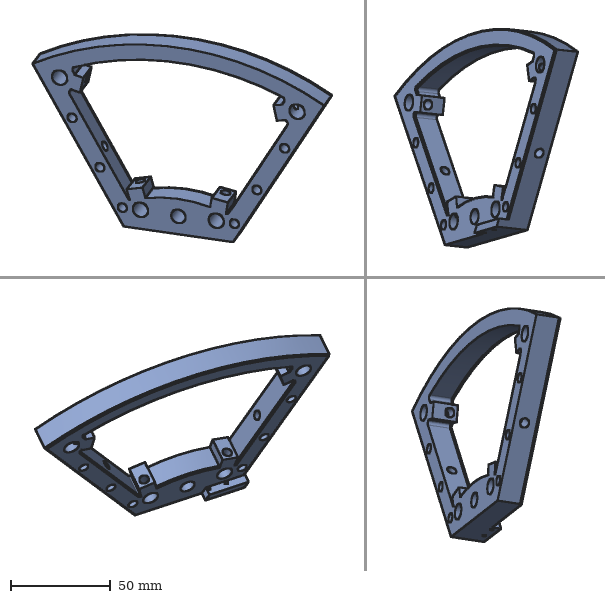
import cadquery as cq
import math

outer_radius = 153.7
half_angle = 30.0
base_width = 57.6
body_depth = 12.5
back_layer_depth = 0.9
back_inset = 0.5
frame_depth = body_depth + back_layer_depth

window_outer_radius = 145.2
window_inner_radius = 69.6
arm_width = 10.0
window_fillet = 1.5

mount_hole_diameter = 8.0
mount_pad_diameter = 16.8
upper_mount_x, upper_mount_z = 62.5, 77.6
lower_mount_x, lower_mount_z = 20.0, 10.6
center_hole_diameter = 7.5
center_hole_z = 10.0
small_hole_diameter = 4.8
small_hole_inset = 4.6
small_hole_radii = (67.2, 90.8, 120.0)

boss_width = 8.6
boss_reach = 11.8
screw_hole_diameter = 4.8
screw_hole_y = 9.2
bosses = (
    (-upper_mount_x, upper_mount_z, -12.0),
    (upper_mount_x, upper_mount_z, 192.0),
    (-lower_mount_x, lower_mount_z, 105.0),
    (lower_mount_x, lower_mount_z, 81.0),
)

side_hole_diameter = 4.8
side_hole_y = 5.7
side_hole_z = 35.4

tab_height = 3.8
total_depth = 18.1
tab_right_x = -7.7
tab_hole_diameter = 1.7
tab_hole_y = 14.5
tab_hole_xs = (-20.5, -10.9)

slope = math.tan(math.radians(half_angle))
cos_half = math.cos(math.radians(half_angle))
sin_half = math.sin(math.radians(half_angle))
apex_z = -base_width / 2 / slope


def xz_plane(y):
    """Sketch plane with local x = X, local y = Z, extruding toward +Y for negative lengths."""
    return cq.Workplane("XZ", origin=(0, y, 0))


def side_x(z, inset):
    """Half width of the sector at height z, with its sides moved inward by inset."""
    return (z - apex_z) * slope - inset / cos_half


def arc_corner(radius, inset):
    """Right-hand point where an arc about the apex meets the inset side."""
    angle = math.radians(half_angle) - math.asin(inset / radius)
    return radius * math.sin(angle), apex_z + radius * math.cos(angle)


def sector(radius, inset, y, depth):
    corner_x, corner_z = arc_corner(radius, inset)
    base_x = side_x(0, inset)
    return (
        xz_plane(y)
        .moveTo(-base_x, 0)
        .lineTo(-corner_x, corner_z)
        .threePointArc((0, apex_z + radius), (corner_x, corner_z))
        .lineTo(base_x, 0)
        .close()
        .extrude(-depth)
    )


def cylinders(points, diameter, depth):
    return xz_plane(0).pushPoints(points).circle(diameter / 2).extrude(-depth)


def window(growth, y, depth):
    """Ring sector opening, leaving round pads around the upper mounting holes.

    growth moves the whole boundary outward, away from the middle of the opening.
    """
    top_radius = window_outer_radius + growth
    low_radius = window_inner_radius - growth
    top_x, top_z = arc_corner(top_radius, arm_width - growth)
    low_x, low_z = arc_corner(low_radius, arm_width - growth)
    opening = (
        xz_plane(y)
        .moveTo(-low_x, low_z)
        .lineTo(-top_x, top_z)
        .threePointArc((0, apex_z + top_radius), (top_x, top_z))
        .lineTo(low_x, low_z)
        .threePointArc((0, apex_z + low_radius), (-low_x, low_z))
        .close()
        .extrude(-depth)
    )
    pad_points = [(-upper_mount_x, upper_mount_z), (upper_mount_x, upper_mount_z)]
    opening = opening.cut(cylinders(pad_points, mount_pad_diameter - 2 * growth, frame_depth))
    opening = cq.Workplane(max(opening.solids().vals(), key=lambda solid: solid.Volume()))
    return opening.edges("|Y").fillet(window_fillet)


def boss(x, z, angle):
    block = cq.Workplane("XY").box(boss_reach, frame_depth, boss_width, centered=(False, False, True))
    return block.rotate((0, 0, 0), (0, 1, 0), -angle).translate((x, 0, z))


def screw_hole(x, z, angle):
    direction = cq.Vector(math.cos(math.radians(angle)), 0, math.sin(math.radians(angle)))
    start = cq.Vector(x, screw_hole_y, z)
    return cq.Solid.makeCylinder(screw_hole_diameter / 2, boss_reach, start, direction)


def side_hole(side):
    """Hole square to one arm; side is -1 for the left arm and 1 for the right."""
    start = cq.Vector(side * side_x(side_hole_z, 0), side_hole_y, side_hole_z)
    inward = cq.Vector(-side * cos_half, 0, sin_half)
    margin = 1.5
    return cq.Solid.makeCylinder(
        side_hole_diameter / 2, arm_width + 2 * margin, start - inward * margin, inward
    )


def tab():
    """Low tab whose two ends both follow the slant of the left side."""
    lean = tab_height * slope
    plate = (
        xz_plane(body_depth)
        .polyline([
            (-side_x(0, 0), 0),
            (tab_right_x, 0),
            (tab_right_x - lean, tab_height),
            (-side_x(tab_height, 0), tab_height),
        ])
        .close()
        .extrude(body_depth - total_depth)
    )
    holes = (
        cq.Workplane("XY")
        .pushPoints([(x, tab_hole_y) for x in tab_hole_xs])
        .circle(tab_hole_diameter / 2)
        .extrude(tab_height)
    )
    behind_frame = cq.Workplane("XY").box(outer_radius, total_depth, outer_radius, centered=(True, False, True))
    return plate.cut(holes.intersect(behind_frame.translate((0, frame_depth, 0))))


def small_hole_points():
    points = []
    for radius in small_hole_radii:
        x, z = arc_corner(radius, small_hole_inset)
        points += [(-x, z), (x, z)]
    return points


frame = sector(outer_radius, 0, 0, body_depth)
frame = frame.union(sector(outer_radius - back_inset, back_inset, body_depth, back_layer_depth))
frame = frame.cut(window(0, 0, body_depth))
frame = frame.cut(window(back_inset, body_depth, back_layer_depth))
for placement in bosses:
    frame = frame.union(boss(*placement))
frame = frame.union(tab())

mount_points = [(x, z) for x, z, angle in bosses]
frame = frame.cut(cylinders(mount_points, mount_hole_diameter, frame_depth))
frame = frame.cut(cylinders([(0, center_hole_z)], center_hole_diameter, frame_depth))
frame = frame.cut(cylinders(small_hole_points(), small_hole_diameter, frame_depth))
for placement in bosses:
    frame = frame.cut(cq.Workplane(screw_hole(*placement)))
for side in (-1, 1):
    frame = frame.cut(cq.Workplane(side_hole(side)))

result = frame